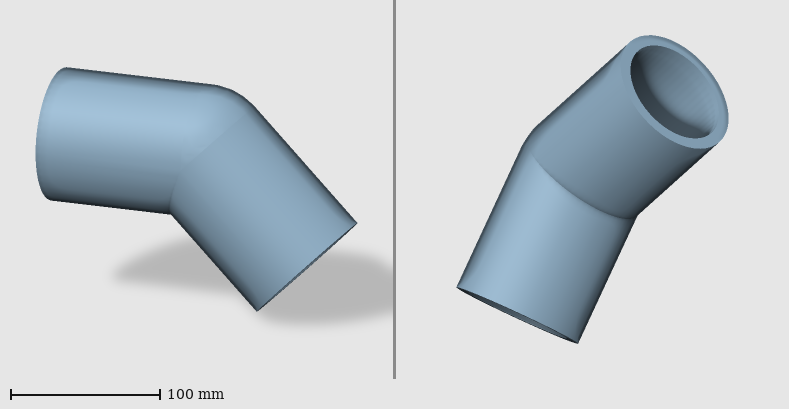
import cadquery as cq
import math

overall_length = 209.4
outer_diameter = 90.0
bore_diameter = 73.7
bend_angle = 45.0

bend = math.radians(bend_angle)
outer_radius = outer_diameter / 2
leg_length = (overall_length - outer_radius * math.sin(bend)) / (1 + math.cos(bend))

bend_centre = cq.Vector(0, 0, 0)
inlet_direction = cq.Vector(-1, 0, 0)
outlet_direction = cq.Vector(math.cos(bend), 0, -math.sin(bend))


def elbow_solid(diameter):
    """Solid elbow: a ball at the bend centre with a cylinder along each leg."""
    radius = diameter / 2
    body = cq.Workplane("XY").sphere(radius)
    for direction in (inlet_direction, outlet_direction):
        leg = cq.Solid.makeCylinder(radius, leg_length, bend_centre, direction)
        body = body.union(cq.Workplane(obj=leg))
    return body


result = elbow_solid(outer_diameter).cut(elbow_solid(bore_diameter))